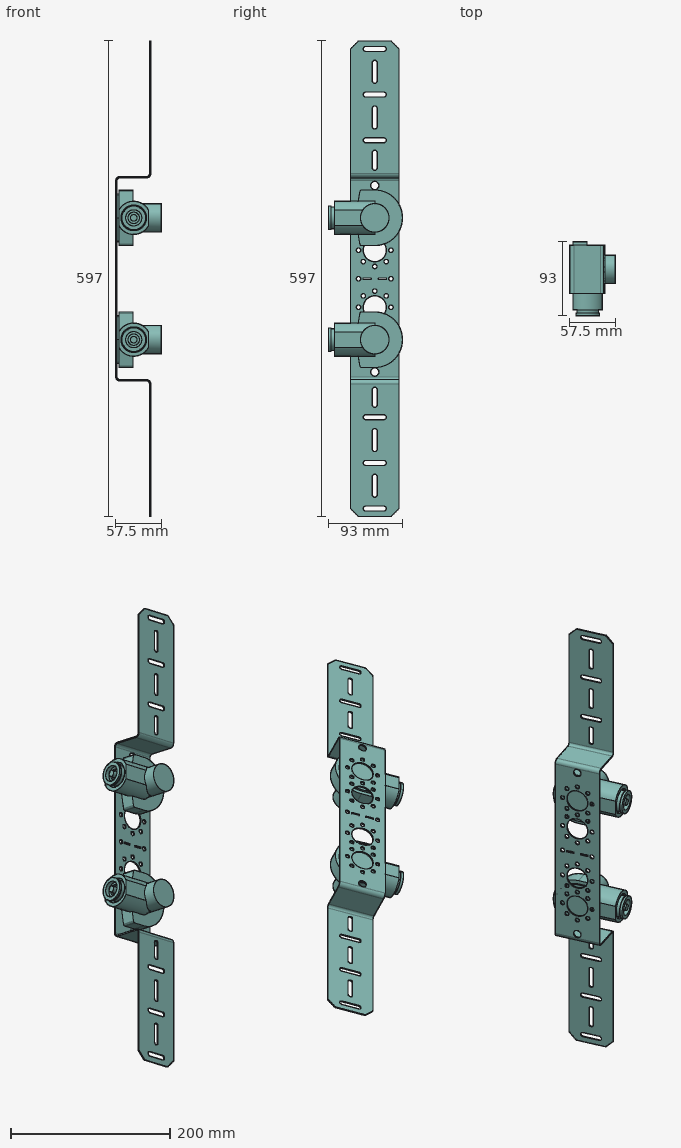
import cadquery as cq
import math

rail_length = 597
rail_width = 61.0
sheet = 2.0
rail_depth = 44.0
middle_height = 257
cut_depth = 3 * sheet
bend_inside = 3.5
bend_outside = bend_inside + sheet
corner_chamfer = 10.0

slot_length = 28.5
slot_width = 6.0
first_slot_z = 288.5
slot_pitch = 28.5
wing_slot_count = 5
inner_slot_z = 148.5
inner_slot_length = 25.0

valve_spacing = 153.0
valve_z = valve_spacing / 2
pattern_radius = 20.0
pattern_hole_count = 8
pattern_hole_diameter = 5.5
spare_pattern_z = valve_z - 2 * pattern_radius
port_diameter = 28.5
shelf_hole_z = 117.0
shelf_hole_diameter = 10.0
mark_offset = 9.5
mark_length = 10.0
mark_width = 2.0

base_diameter = 70.0
base_radius = base_diameter / 2
base_front = 4.0
base_back = 22.0
base_peak_y = -24.5
base_end_tilt = 10
base_corner_radius = 2.5
pad_inset = 5.0

body_x = 22.5
body_radius = 21.0
body_half_depth = 18.5
body_end_y = -51.0
overall_width = 93.0
spout_end_y = base_radius - overall_width
spout_radius = 14.0
spout_collar_radius = 15.0
spout_collar_length = 3.5
spout_bore_radius = 10.0
spout_bore_depth = 6.0
spout_seat_radius = 7.0
spout_seat_depth = 9.5
spout_pin_radius = 4.0
spout_groove_radius = 16.0
spout_groove_depth = 3.0
stub_radius = 18.0
stub_end_x = 57.5


def folded_strip():
    half_middle = middle_height / 2
    half_length = rail_length / 2
    outline = [
        (0, -half_middle),
        (rail_depth - sheet, -half_middle),
        (rail_depth - sheet, -half_length),
        (rail_depth, -half_length),
        (rail_depth, sheet - half_middle),
        (sheet, sheet - half_middle),
        (sheet, half_middle - sheet),
        (rail_depth, half_middle - sheet),
        (rail_depth, half_length),
        (rail_depth - sheet, half_length),
        (rail_depth - sheet, half_middle),
        (0, half_middle),
    ]
    strip = cq.Workplane("XZ").polyline(outline).close().extrude(rail_width / 2, both=True)

    def bend_edges(x, z):
        reach = sheet / 4
        select = cq.selectors.BoxSelector(
            (x - reach, -rail_width, z - reach), (x + reach, rail_width, z + reach)
        )
        return strip.edges("|Y").edges(select)

    for side in (1, -1):
        outer = side * half_middle
        inner = side * (half_middle - sheet)
        strip = bend_edges(0, outer).fillet(bend_outside)
        strip = bend_edges(sheet, inner).fillet(bend_inside)
        strip = bend_edges(rail_depth - sheet, outer).fillet(bend_inside)
        strip = bend_edges(rail_depth, inner).fillet(bend_outside)
    tips = strip.faces("<Z or >Z").edges("|X")
    return tips.chamfer(corner_chamfer)


def cutter_sketch(points, x):
    """Plane just before the sheet at x, facing along +X, with the given (y, z) points selected."""
    return cq.Workplane("YZ", origin=(x - sheet, 0, 0)).pushPoints(points)


def wing_slots(side):
    """Cutter for the slots of the upper (1) or lower (-1) wing."""
    x = rail_depth - sheet
    inner = cutter_sketch([(0, side * inner_slot_z)], x)
    cutter = inner.slot2D(inner_slot_length, slot_width, 90).extrude(cut_depth)
    for index in range(wing_slot_count):
        z = side * (first_slot_z - index * slot_pitch)
        angle = 90 * (index % 2)
        slot = cutter_sketch([(0, z)], x).slot2D(slot_length, slot_width, angle)
        cutter = cutter.union(slot.extrude(cut_depth))
    return cutter


def middle_holes():
    pattern_centres = [side * z for side in (1, -1) for z in (valve_z, spare_pattern_z)]
    small = [(side * pattern_radius, 0) for side in (1, -1)]
    for centre in pattern_centres:
        for index in range(pattern_hole_count):
            angle = 2 * math.pi * index / pattern_hole_count
            y = pattern_radius * math.cos(angle)
            z = centre + pattern_radius * math.sin(angle)
            small.append((y, z))
    ports = cutter_sketch([(0, z) for z in pattern_centres], 0)
    cutter = ports.circle(port_diameter / 2).extrude(cut_depth)
    for y, z in small:
        hole = cutter_sketch([(y, z)], 0).circle(pattern_hole_diameter / 2)
        cutter = cutter.union(hole.extrude(cut_depth))
    shelf_holes = cutter_sketch([(0, shelf_hole_z), (0, -shelf_hole_z)], 0)
    cutter = cutter.union(shelf_holes.circle(shelf_hole_diameter / 2).extrude(cut_depth))
    marks = cutter_sketch([(mark_offset, 0), (-mark_offset, 0)], 0)
    return cutter.union(marks.rect(mark_length, mark_width).extrude(cut_depth))


def base_plate(inset, x_start, x_end):
    """Base outline shrunk by inset, extruded between two X positions."""
    radius = base_radius - inset
    peak_y = base_peak_y + inset
    corner_y = peak_y + radius * math.tan(math.radians(base_end_tilt))
    plate = (
        cq.Workplane("YZ", origin=(x_start, 0, 0))
        .moveTo(0, -radius)
        .threePointArc((radius, 0), (0, radius))
        .lineTo(corner_y, radius)
        .lineTo(peak_y, 0)
        .lineTo(corner_y, -radius)
        .close()
        .extrude(x_end - x_start)
    )
    for side in (1, -1):
        corner = cq.selectors.NearestToPointSelector(((x_start + x_end) / 2, corner_y, side * radius))
        plate = plate.edges("|X").edges(corner).fillet(base_corner_radius)
    return plate


def cylinder_to(y_start, y_end, radius):
    """Cylinder on the valve body axis, running towards -Y."""
    plane = cq.Workplane("XZ", origin=(body_x, y_start, 0))
    return plane.circle(radius).extrude(y_start - y_end)


def valve():
    base = base_plate(0, base_front, base_back)
    pad = base_plate(pad_inset, sheet, base_front)
    flats = cq.Workplane("XY").box(2 * body_half_depth, -2 * body_end_y, 2 * body_radius)
    body = cylinder_to(0, body_end_y, body_radius).intersect(flats.translate((body_x, 0, 0)))
    stub = cq.Workplane("YZ", origin=(body_x, 0, 0)).circle(stub_radius).extrude(stub_end_x - body_x)
    groove_floor_y = body_end_y + spout_groove_depth
    seat_y = spout_end_y + spout_seat_depth
    body = body.cut(cylinder_to(groove_floor_y, body_end_y, spout_groove_radius))
    spout = cylinder_to(groove_floor_y, spout_end_y, spout_radius)
    collar = cylinder_to(spout_end_y + spout_collar_length, spout_end_y, spout_collar_radius)
    bore = cylinder_to(spout_end_y + spout_bore_depth, spout_end_y, spout_bore_radius)
    seat = cylinder_to(seat_y, spout_end_y, spout_seat_radius)
    pin = cylinder_to(seat_y, spout_end_y, spout_pin_radius)
    spout = spout.union(collar).cut(bore).cut(seat).union(pin)
    return base.union(pad).union(body).union(stub).union(spout)


rail = folded_strip().cut(middle_holes()).cut(wing_slots(1)).cut(wing_slots(-1))
one_valve = valve()
result = rail
for height in (valve_z, -valve_z):
    result = result.union(one_valve.translate((0, 0, height)))